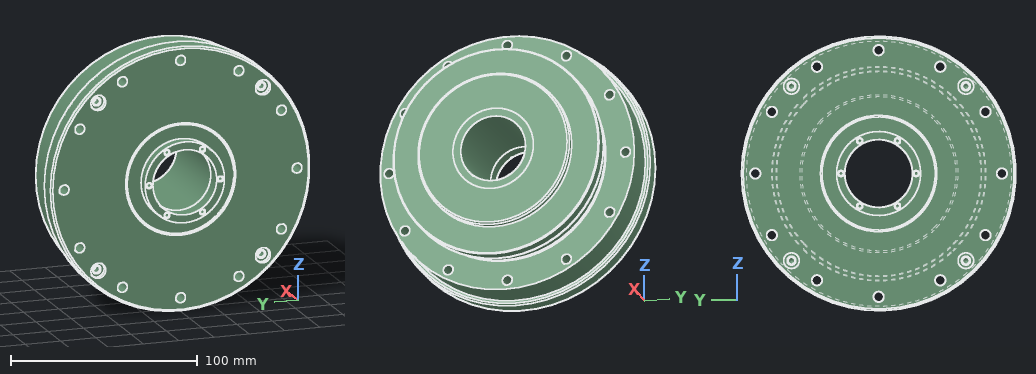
import cadquery as cq
import math

SHAFT_NOSE_X = 0.0
PLATE_FRONT_X = 6.8
SLEEVE_FRONT_X = 9.7
PLATE_BACK_X = 18.7
HOUSING_SHOULDER_X = 39.1
HOUSING_BACK_X = 40.0
BEARING_BACK_X = 51.0
FLANGE_BACK_X = 60.3
OUTPUT_END_X = 65.5

PLATE_RADIUS = 73.5
HOUSING_RADIUS = 71.0
BEARING_RADIUS = 55.1
FLANGE_RADIUS = 57.5
SPIGOT_RADIUS = 42.3
SEAL_RADIUS = 30.3
SHAFT_RADIUS = 22.5
BORE_RADIUS = 18.1

LARGE_CHAMFER = 1.0
SMALL_CHAMFER = 0.5
SEAL_SEAT_CHAMFER = 0.9

BOLT_CIRCLE_RADIUS = 66.0
MOUNTING_HOLE_COUNT = 12
MOUNTING_HOLE_DIAMETER = 5.5
JACKING_HOLE_COUNT = 4
JACKING_START_ANGLE = 45.0
COUNTERBORE_DIAMETER = 8.4
COUNTERBORE_DEPTH = 2.6
JACKING_DRILL_DIAMETER = 3.7
JACKING_DRILL_DEPTH = 6.6
JACKING_MOUTH_DIAMETER = 4.7

NOSE_HOLE_COUNT = 6
NOSE_CIRCLE_RADIUS = 20.1
NOSE_DRILL_DIAMETER = 2.5
NOSE_DRILL_DEPTH = 5.9
NOSE_MOUTH_DIAMETER = 3.2

DRILL_POINT_ANGLE = 118.0


def tube(start_x, end_x, outer_radius, inner_radius):
    """Plain ring about the X axis."""
    ring = cq.Workplane("YZ", origin=(start_x, 0, 0)).circle(outer_radius).circle(inner_radius)
    return ring.extrude(end_x - start_x)


def disc(start_x, end_x, radius):
    """Solid cylinder about the X axis."""
    return cq.Workplane("YZ", origin=(start_x, 0, 0)).circle(radius).extrude(end_x - start_x)


def circle_points(count, radius, start_angle=0.0):
    """Evenly spaced (y, z) places on a circle about the X axis."""
    angles = [math.radians(start_angle + 360.0 * i / count) for i in range(count)]
    return [(radius * math.cos(a), radius * math.sin(a)) for a in angles]


def through_holes(start_x, end_x):
    """Cutters for the mounting holes that pass through plate and housing."""
    places = circle_points(MOUNTING_HOLE_COUNT, BOLT_CIRCLE_RADIUS)
    sketch = cq.Workplane("YZ", origin=(start_x, 0, 0)).pushPoints(places)
    return sketch.circle(MOUNTING_HOLE_DIAMETER / 2).extrude(end_x - start_x)


def drilled_hole(mouth_x, place, drill_diameter, drill_depth, mouth_diameter):
    """Cutter for a blind hole along +X with a 45 degree mouth and a drill point."""
    drill_radius = drill_diameter / 2
    mouth_radius = mouth_diameter / 2
    point_length = drill_radius / math.tan(math.radians(DRILL_POINT_ANGLE / 2))
    profile = (
        cq.Workplane("XY")
        .lineTo(0, mouth_radius)
        .lineTo(mouth_radius - drill_radius, drill_radius)
        .lineTo(drill_depth, drill_radius)
        .lineTo(drill_depth + point_length, 0)
        .close()
    )
    return profile.revolve(360, (0, 0, 0), (1, 0, 0)).translate((mouth_x, *place))


def make_front_plate():
    plate = disc(PLATE_FRONT_X, PLATE_BACK_X, PLATE_RADIUS).edges().chamfer(LARGE_CHAMFER)
    plate = plate.cut(disc(PLATE_FRONT_X, PLATE_BACK_X, SEAL_RADIUS))
    seat_edge = cq.selectors.RadiusNthSelector(0)
    plate = plate.faces("<X").edges(seat_edge).chamfer(SEAL_SEAT_CHAMFER)
    plate = plate.cut(through_holes(PLATE_FRONT_X, PLATE_BACK_X))

    floor_x = PLATE_FRONT_X + COUNTERBORE_DEPTH
    places = circle_points(JACKING_HOLE_COUNT, BOLT_CIRCLE_RADIUS, JACKING_START_ANGLE)
    counterbores = cq.Workplane("YZ", origin=(PLATE_FRONT_X, 0, 0)).pushPoints(places)
    plate = plate.cut(counterbores.circle(COUNTERBORE_DIAMETER / 2).extrude(COUNTERBORE_DEPTH))
    for place in places:
        plate = plate.cut(
            drilled_hole(floor_x, place, JACKING_DRILL_DIAMETER, JACKING_DRILL_DEPTH, JACKING_MOUTH_DIAMETER)
        )
    return plate


def make_housing():
    body = tube(PLATE_BACK_X, HOUSING_SHOULDER_X, HOUSING_RADIUS, SHAFT_RADIUS)
    body = body.cut(through_holes(PLATE_BACK_X, HOUSING_SHOULDER_X))
    return body.union(tube(HOUSING_SHOULDER_X, HOUSING_BACK_X, BEARING_RADIUS, SHAFT_RADIUS))


def make_bearing_ring():
    ring = disc(HOUSING_BACK_X, BEARING_BACK_X, BEARING_RADIUS)
    ring = ring.faces("<X").edges().chamfer(SMALL_CHAMFER)
    return ring.cut(disc(HOUSING_BACK_X, BEARING_BACK_X, SHAFT_RADIUS))


def make_output_flange():
    flange = disc(BEARING_BACK_X, FLANGE_BACK_X, FLANGE_RADIUS).edges().chamfer(SMALL_CHAMFER)
    spigot = disc(FLANGE_BACK_X, OUTPUT_END_X, SPIGOT_RADIUS)
    spigot = spigot.faces(">X").edges().chamfer(LARGE_CHAMFER)
    return flange.union(spigot).cut(disc(BEARING_BACK_X, OUTPUT_END_X, SHAFT_RADIUS))


def make_seal():
    return tube(PLATE_FRONT_X, PLATE_BACK_X, SEAL_RADIUS, SHAFT_RADIUS)


def make_shaft_nose():
    nose = tube(SHAFT_NOSE_X, SLEEVE_FRONT_X, SHAFT_RADIUS, BORE_RADIUS)
    for place in circle_points(NOSE_HOLE_COUNT, NOSE_CIRCLE_RADIUS):
        nose = nose.cut(
            drilled_hole(SHAFT_NOSE_X, place, NOSE_DRILL_DIAMETER, NOSE_DRILL_DEPTH, NOSE_MOUTH_DIAMETER)
        )
    return nose


def make_shaft_sleeve():
    return tube(SLEEVE_FRONT_X, OUTPUT_END_X, SHAFT_RADIUS, BORE_RADIUS)


front_plate = make_front_plate()
housing = make_housing()
bearing_ring = make_bearing_ring()
output_flange = make_output_flange()
seal = make_seal()
shaft_nose = make_shaft_nose()
shaft_sleeve = make_shaft_sleeve()

result = cq.Compound.makeCompound([
    front_plate.val(),
    housing.val(),
    bearing_ring.val(),
    output_flange.val(),
    seal.val(),
    shaft_nose.val(),
    shaft_sleeve.val(),
])